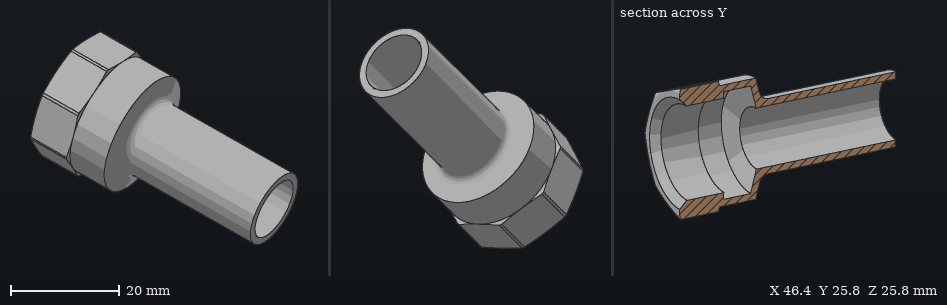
import cadquery as cq
import math

length = 46.4
tube_radius = 7.45
tube_bore_radius = 6.0

nut_sides = 8
nut_length = 8.65
nut_flat_radius = 12.0
nut_corner_radius = 12.9
nut_chamfer_depth = 0.25

collar_end = 16.4
collar_radius = nut_flat_radius
shoulder_angle = math.radians(15)
neck_fillet = 2.0

socket_radius = 9.3
socket_end = 9.5
socket_chamfer = 1.55

relief_radius = 10.6
relief_end = 15.2


def revolve_about_x(profile):
    return profile.close().revolve(360, (0, 0, 0), (1, 0, 0))


def make_nut():
    across_corners = 2 * nut_flat_radius / math.cos(math.pi / nut_sides)
    prism = cq.Workplane("YZ").polygon(nut_sides, across_corners).extrude(nut_length)
    envelope = revolve_about_x(
        cq.Workplane("XY")
        .moveTo(0, 0)
        .lineTo(0, nut_flat_radius)
        .lineTo(nut_chamfer_depth, nut_corner_radius)
        .lineTo(nut_length - nut_chamfer_depth, nut_corner_radius)
        .lineTo(nut_length, nut_flat_radius)
        .lineTo(nut_length, 0)
    )
    return prism.intersect(envelope)


def make_body():
    fillet_center_radius = tube_radius + neck_fillet
    fillet_start_radius = fillet_center_radius - neck_fillet * math.sin(shoulder_angle)
    fillet_start = collar_end + (collar_radius - fillet_start_radius) * math.tan(shoulder_angle)
    fillet_end = fillet_start + neck_fillet * math.cos(shoulder_angle)
    middle_angle = (math.pi / 2 + shoulder_angle) / 2
    fillet_middle = (
        fillet_end - neck_fillet * math.cos(middle_angle),
        fillet_center_radius - neck_fillet * math.sin(middle_angle),
    )
    return revolve_about_x(
        cq.Workplane("XY")
        .moveTo(0, 0)
        .lineTo(0, collar_radius)
        .lineTo(collar_end, collar_radius)
        .lineTo(fillet_start, fillet_start_radius)
        .threePointArc(fillet_middle, (fillet_end, tube_radius))
        .lineTo(length, tube_radius)
        .lineTo(length, 0)
    )


def make_bore():
    cone_end = relief_end + (relief_radius - tube_bore_radius) * math.tan(shoulder_angle)
    return revolve_about_x(
        cq.Workplane("XY")
        .moveTo(0, 0)
        .lineTo(0, socket_radius + socket_chamfer)
        .lineTo(socket_chamfer, socket_radius)
        .lineTo(socket_end, socket_radius)
        .lineTo(socket_end, relief_radius)
        .lineTo(relief_end, relief_radius)
        .lineTo(cone_end, tube_bore_radius)
        .lineTo(length, tube_bore_radius)
        .lineTo(length, 0)
    )


result = make_nut().union(make_body()).cut(make_bore())